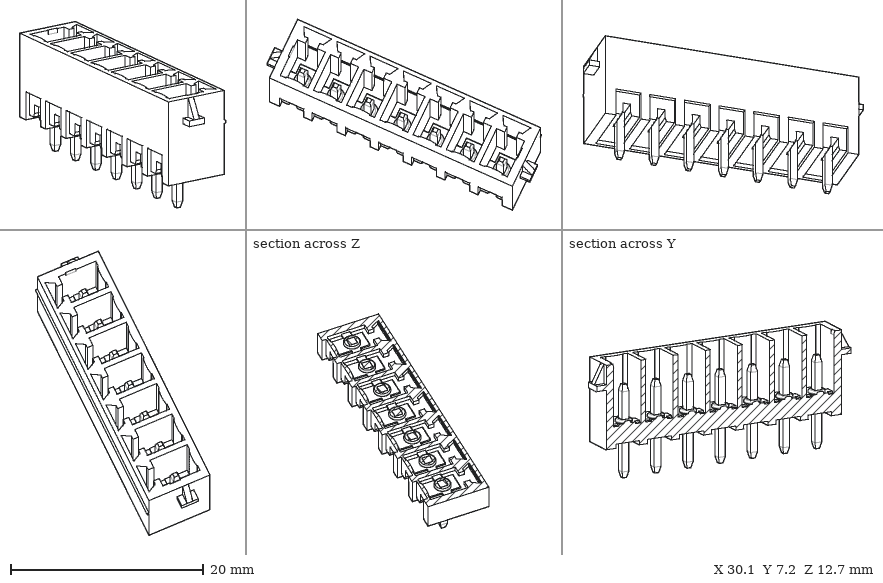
import cadquery as cq

TINY = 0.03

PIN_COUNT = 7
PIN_ROW_SPAN = 22.85
PITCH = PIN_ROW_SPAN / (PIN_COUNT - 1)
PIN_WIDTH = 0.8
PIN_TOP = 6.65
PIN_BOTTOM = -3.5
TIP_WIDTH = 0.45
TIP_LENGTH = 0.72
PIN_X = [(i - (PIN_COUNT - 1) / 2) * PITCH for i in range(PIN_COUNT)]

OVERALL_LENGTH = 30.15
BODY_LENGTH = 27.9
BODY_HEIGHT = 9.2
FRONT_Y = -2.8
BACK_Y = 4.2

RIDGE_RADIUS = 0.2
RIDGE_Z = 5.75

TAB_REACH = (OVERALL_LENGTH - BODY_LENGTH) / 2
TAB_WIDTH = 1.9
TAB_TOP = 7.1
TAB_THICKNESS = 0.63
TAB_RIB_WIDTH = 0.65

FLOOR_Z = 2.4
CAVITY_WIDTH = 3.2
CAVITY_FRONT_Y = -2.08
WELL_BACK_Y = 2.17
NECK_WIDTH = 1.35
NECK_BACK_Y = 2.8
DOVETAIL_WIDTH = 2.15
CAVITY_BACK_Y = 3.75
LEDGE_DEPTH = 0.1
LEDGE_HEIGHT = 0.3

PAD_EDGE_Y = -2.0
PAD_CREST_Y = -1.9

CROSS_WIDTH = 2.0
CROSS_BACK_Y = 1.63
CROSS_BAND = 1.0
CROSS_HEIGHT = 0.18
BOSS_DIAMETER = 1.8
BOSS_HEIGHT = 0.3
BOSS_ROUNDING = 0.2

END_RECESS_DEPTH = 0.12
END_RECESS_HEIGHT = 0.45
END_RECESS_FRONT_Y = 0.18
END_RECESS_BACK_Y = 1.35

NOTCH_HALF_WIDTH = 1.42
NOTCH_X_LIMIT = 12.75
NOTCH_HEIGHT = 3.08
NOTCH_DEPTH = 0.45
CHANNEL_HEIGHT = 0.45
SLOT_TOP = 1.8
FLARE_HEIGHT = 0.42
FLARE_WIDTH = 0.15


def block(x0, x1, y0, y1, z0, z1):
    """Box between two opposite corners."""
    return cq.Workplane("XY").box(x1 - x0, y1 - y0, z1 - z0, centered=False).translate((x0, y0, z0))


def make_ridge():
    """Bar half sunk in the back face, leaving a half-round ridge along it."""
    profile = cq.Workplane("YZ").center(BACK_Y, RIDGE_Z).circle(RIDGE_RADIUS)
    return profile.extrude(BODY_LENGTH / 2, both=True)


def make_end_tab():
    """Tab with a sloping rib on the +X end face."""
    face_x = BODY_LENGTH / 2
    tip_x = face_x + TAB_REACH
    half = TAB_WIDTH / 2
    tab = block(face_x - TINY, tip_x, -half, half, TAB_TOP - TAB_THICKNESS, TAB_TOP)
    rib_profile = [
        (face_x - TINY, TAB_TOP),
        (tip_x, TAB_TOP),
        (face_x, BODY_HEIGHT),
        (face_x - TINY, BODY_HEIGHT),
    ]
    rib = cq.Workplane("XZ").polyline(rib_profile).close().extrude(TAB_RIB_WIDTH / 2, both=True)
    return tab.union(rib)


def make_cavity_cutter():
    """Open-topped cavity for one pin, less the pad, ledge, cross and boss that stand in it."""
    half = CAVITY_WIDTH / 2
    neck = NECK_WIDTH / 2
    dovetail = DOVETAIL_WIDTH / 2
    pad = CROSS_WIDTH / 2
    depth = BODY_HEIGHT - FLOOR_Z + TINY
    cavity = (
        cq.Workplane("XY", origin=(0, 0, FLOOR_Z))
        .moveTo(-half, CAVITY_FRONT_Y)
        .lineTo(-pad, CAVITY_FRONT_Y)
        .lineTo(-pad, PAD_EDGE_Y)
        .threePointArc((0, PAD_CREST_Y), (pad, PAD_EDGE_Y))
        .lineTo(pad, CAVITY_FRONT_Y)
        .lineTo(half, CAVITY_FRONT_Y)
        .lineTo(half, WELL_BACK_Y)
        .lineTo(neck, WELL_BACK_Y)
        .lineTo(neck, NECK_BACK_Y)
        .lineTo(dovetail, NECK_BACK_Y)
        .lineTo(half, CAVITY_BACK_Y)
        .lineTo(-half, CAVITY_BACK_Y)
        .lineTo(-dovetail, NECK_BACK_Y)
        .lineTo(-neck, NECK_BACK_Y)
        .lineTo(-neck, WELL_BACK_Y)
        .lineTo(-half, WELL_BACK_Y)
        .close()
        .extrude(depth)
    )
    ledge = block(-half, half, CAVITY_BACK_Y - LEDGE_DEPTH, CAVITY_BACK_Y, FLOOR_Z, FLOOR_Z + LEDGE_HEIGHT)
    cross_top = FLOOR_Z + CROSS_HEIGHT
    stem = block(-pad, pad, CAVITY_FRONT_Y, CROSS_BACK_Y, FLOOR_Z, cross_top)
    band = block(-half, half, -CROSS_BAND / 2, CROSS_BAND / 2, FLOOR_Z, cross_top)
    boss = cq.Workplane("XY", origin=(0, 0, cross_top)).circle(BOSS_DIAMETER / 2).extrude(BOSS_HEIGHT)
    boss = boss.faces(">Z").edges().fillet(BOSS_ROUNDING)
    return cavity.cut(ledge).cut(stem).cut(band).cut(boss)


def make_end_recess_cutter():
    """Recess in the inner face of the +X end wall, curving out to the wall downwards."""
    wall_x = PIN_X[-1] + CAVITY_WIDTH / 2
    top_z = BODY_HEIGHT + TINY
    bottom_z = BODY_HEIGHT - END_RECESS_HEIGHT
    deep_x = wall_x + END_RECESS_DEPTH
    cutter = (
        cq.Workplane("XZ", origin=(0, END_RECESS_BACK_Y, 0))
        .moveTo(wall_x, bottom_z - TINY)
        .lineTo(wall_x, bottom_z)
        .tangentArcPoint((deep_x, BODY_HEIGHT), relative=False)
        .lineTo(deep_x, top_z)
        .lineTo(wall_x - TINY, top_z)
        .lineTo(wall_x - TINY, bottom_z - TINY)
        .close()
    )
    return cutter.extrude(END_RECESS_BACK_Y - END_RECESS_FRONT_Y)


def make_base_cutter(x):
    """Front notch and underside channel at x; the outermost notches stop short at the end walls."""
    left = max(x - NOTCH_HALF_WIDTH, -NOTCH_X_LIMIT)
    right = min(x + NOTCH_HALF_WIDTH, NOTCH_X_LIMIT)
    notch = block(left, right, FRONT_Y - TINY, FRONT_Y + NOTCH_DEPTH, -TINY, NOTCH_HEIGHT)
    channel = block(left, right, FRONT_Y - TINY, CAVITY_BACK_Y, -TINY, CHANNEL_HEIGHT)
    return notch.union(channel)


def make_slot_cutter():
    """Slot from the front face to the back of the pin, flared at its mouth on the underside."""
    half = PIN_WIDTH / 2
    mouth = half + FLARE_WIDTH
    flare_top = CHANNEL_HEIGHT + FLARE_HEIGHT
    profile = [
        (-mouth, CHANNEL_HEIGHT),
        (mouth, CHANNEL_HEIGHT),
        (half, flare_top),
        (half, SLOT_TOP),
        (-half, SLOT_TOP),
        (-half, flare_top),
    ]
    return cq.Workplane("XZ", origin=(0, half, 0)).polyline(profile).close().extrude(half - FRONT_Y)


def make_pin():
    """Square pin tapered at both ends, centred on the Z axis."""
    shank_bottom = PIN_BOTTOM + TIP_LENGTH
    shank_length = PIN_TOP - PIN_BOTTOM - 2 * TIP_LENGTH
    shank = cq.Workplane("XY", origin=(0, 0, shank_bottom)).rect(PIN_WIDTH, PIN_WIDTH).extrude(shank_length)
    upper_tip = shank.faces(">Z").workplane().rect(PIN_WIDTH, PIN_WIDTH)
    upper_tip = upper_tip.workplane(offset=TIP_LENGTH).rect(TIP_WIDTH, TIP_WIDTH).loft(combine=False)
    lower_tip = shank.faces("<Z").workplane().rect(PIN_WIDTH, PIN_WIDTH)
    lower_tip = lower_tip.workplane(offset=TIP_LENGTH).rect(TIP_WIDTH, TIP_WIDTH).loft(combine=False)
    return shank.union(upper_tip).union(lower_tip)


def make_housing():
    """Housing block with its ridge, tabs, cavities and pin holes."""
    end_x = BODY_LENGTH / 2
    end_tab = make_end_tab()
    end_recess = make_end_recess_cutter()
    body = block(-end_x, end_x, FRONT_Y, BACK_Y, 0, BODY_HEIGHT).union(make_ridge())
    body = body.union(end_tab).union(end_tab.mirror("YZ"))

    cavity = make_cavity_cutter()
    slot = make_slot_cutter()
    pin_hole = block(-PIN_WIDTH / 2, PIN_WIDTH / 2, -PIN_WIDTH / 2, PIN_WIDTH / 2, 0, BODY_HEIGHT)
    for x in PIN_X:
        body = body.cut(make_base_cutter(x))
        for cutter in (cavity, slot, pin_hole):
            body = body.cut(cutter.translate((x, 0, 0)))
    return body.cut(end_recess).cut(end_recess.mirror("YZ")).solids()


housing = make_housing()
pin = make_pin()
pins = [pin.translate((x, 0, 0)).solids().val() for x in PIN_X]

result = cq.Compound.makeCompound([housing.val(), *pins])